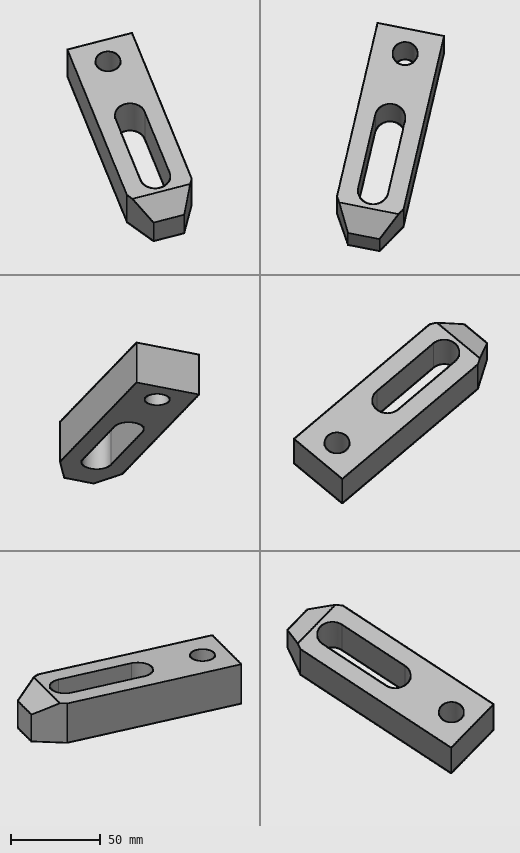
import cadquery as cq
import math

length = 125.0
width = 38.0
height = 25.0

nose_angle = math.radians(30)
tip_width = 18.0
slope_length = 13.8

hole_diameter = 14.0
hole_x = 15.0
slot_start = 46.5
slot_length = 62.0
slot_width = 17.0


def make_bar():
    """Bar whose sides taper symmetrically to the tip."""
    taper_start = length - (width - tip_width) / 2 / math.tan(nose_angle)
    return (
        cq.Workplane("XY")
        .polyline([
            (0, -width / 2),
            (taper_start, -width / 2),
            (length, -tip_width / 2),
            (length, tip_width / 2),
            (taper_start, width / 2),
            (0, width / 2),
        ])
        .close()
        .extrude(height)
    )


def make_nose_slope():
    """Wedge removed from the top of the nose."""
    drop = slope_length * math.tan(nose_angle)
    return (
        cq.Workplane("XZ")
        .polyline([
            (length - slope_length, height),
            (length, height),
            (length, height - drop),
        ])
        .close()
        .extrude(width / 2, both=True)
    )


def make_hole():
    """Round through hole near the back end."""
    return cq.Workplane("XY").center(hole_x, 0).circle(hole_diameter / 2).extrude(height)


def make_slot():
    """Round-ended through slot along the bar."""
    slot_center = slot_start + slot_length / 2
    return cq.Workplane("XY").center(slot_center, 0).slot2D(slot_length, slot_width).extrude(height)


result = make_bar().cut(make_nose_slope()).cut(make_hole()).cut(make_slot())